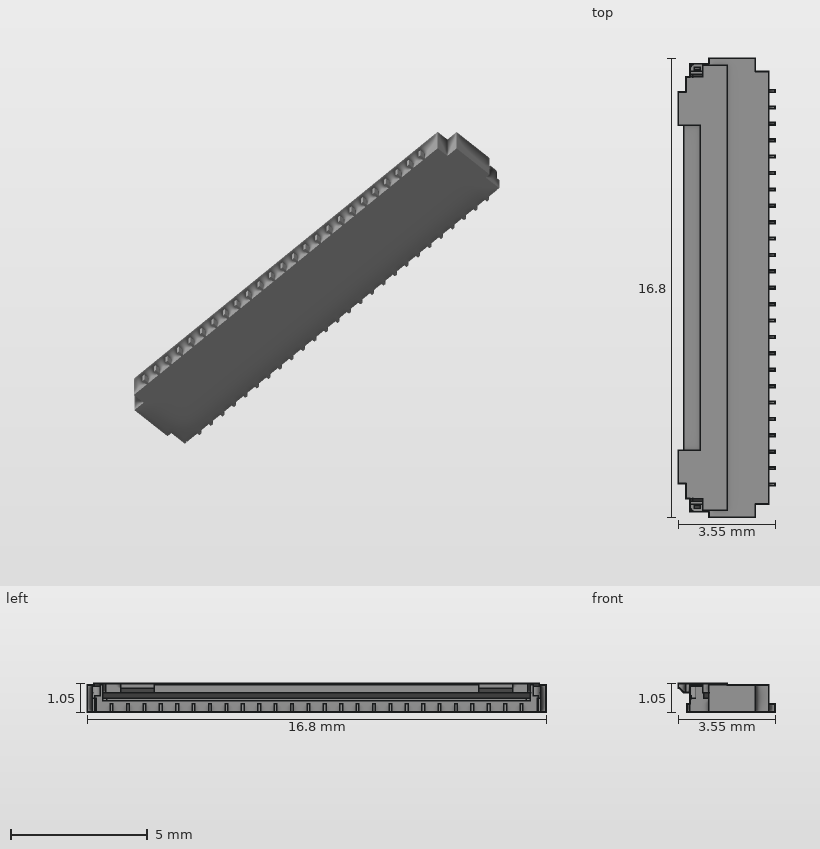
import cadquery as cq


HOUSING_TOP = 1.0
MOUTH_X = -1.34
SHOULDER_X = -0.65
TAIL_X = 1.05
REAR_X = 1.55
FULL_HALF_LENGTH = 8.4
MOUTH_HALF_LENGTH = 8.2
TAIL_HALF_LENGTH = 7.92

SLOT_HALF_LENGTH = 7.82
SLOT_FLOOR = 0.5
LIP_FLOOR = 0.42
LIP_DEPTH = 0.1
RECESS_REAR_X = 0.025
RECESS_HALF_LENGTH = 8.15
RECESS_FRONT_X = -0.88
HINGE_FRONT_X = -0.83
HINGE_FLOOR = SLOT_FLOOR

POST_INNER_Y = 7.92
POST_TOP = 0.95
POST_RADIUS = 0.2
POST_SEAT = 0.6
CHEEK_INNER_Y = 8.12
CHEEK_TOP = 0.5
CHEEK_GROOVE_WIDTH = 0.05
CHEEK_GROOVE_DEPTH = 0.05
POCKET_FRONT_X = -1.19
POCKET_REAR_X = -0.97
POCKET_INNER_Y = 7.97
POCKET_OUTER_Y = 8.07
POCKET_DEPTH = 0.1

FOOT_PITCH = 0.6
FOOT_WIDTH = 0.1
FOOT_HEIGHT = 0.3
FRONT_FOOT_COUNT = 26
REAR_FOOT_COUNT = 25
FRONT_FOOT_X = -1.45
REAR_FOOT_X = 1.775

ACTUATOR_BOTTOM = 0.71
ACTUATOR_TOP = 1.05
ACTUATOR_HALF_LENGTH = 7.72
ACTUATOR_FRONT_X = -1.49
TAB_TIP_X = -1.775
TAB_SLOPE_X = -1.725
TAB_HEEL_X = -1.57
TAB_SLOPE_TOP = 0.88
TAB_OUTER_Y = 7.17
TAB_INNER_Y = 5.94
SINK_FLOOR = 1.0
SINK_REAR_X = -0.97

BAR_HALF_LENGTH = 7.67

ENDS = (-1, 1)


def block(x0, x1, y0, y1, z0, z1):
    """Box between two corners; the two Y limits may come in either order."""
    centre = ((x0 + x1) / 2, (y0 + y1) / 2, (z0 + z1) / 2)
    return cq.Workplane("XY").box(x1 - x0, abs(y1 - y0), z1 - z0).translate(centre)


def long_block(x0, x1, half_length, z0, z1):
    """Box that is symmetric about Y = 0."""
    return block(x0, x1, -half_length, half_length, z0, z1)


def housing_shell():
    """Stepped body, open above the mouth and recessed for the actuator."""
    shell = long_block(MOUTH_X, SHOULDER_X, MOUTH_HALF_LENGTH, 0, HOUSING_TOP)
    shell = shell.union(long_block(SHOULDER_X, TAIL_X, FULL_HALF_LENGTH, 0, HOUSING_TOP))
    shell = shell.union(long_block(TAIL_X, REAR_X, TAIL_HALF_LENGTH, 0, HOUSING_TOP))
    slot = long_block(MOUTH_X, RECESS_REAR_X, SLOT_HALF_LENGTH, SLOT_FLOOR, HOUSING_TOP)
    lip = long_block(MOUTH_X, MOUTH_X + LIP_DEPTH, SLOT_HALF_LENGTH, LIP_FLOOR, SLOT_FLOOR)
    recess = long_block(
        RECESS_FRONT_X, RECESS_REAR_X, RECESS_HALF_LENGTH, ACTUATOR_BOTTOM, HOUSING_TOP
    )
    shell = shell.cut(slot).cut(lip).cut(recess).cut(make_contact_bar())
    for end in ENDS:
        hinge_gap = block(
            HINGE_FRONT_X, SHOULDER_X, end * POST_INNER_Y, end * MOUTH_HALF_LENGTH,
            HINGE_FLOOR, HOUSING_TOP,
        )
        outer_gap = block(
            RECESS_FRONT_X, SHOULDER_X, end * POST_INNER_Y, end * MOUTH_HALF_LENGTH,
            ACTUATOR_BOTTOM, HOUSING_TOP,
        )
        shell = shell.cut(hinge_gap).cut(outer_gap)
    return shell


def corner_waste(end, z0, inner_y):
    """Material outside the post's rounded outer corner, from z0 up, beyond inner_y."""
    centre_x = MOUTH_X + POST_RADIUS
    centre_y = end * (MOUTH_HALF_LENGTH - POST_RADIUS)
    corner = block(MOUTH_X, centre_x, end * inner_y, end * MOUTH_HALF_LENGTH, z0, HOUSING_TOP)
    rounding = (
        cq.Workplane("XY", origin=(centre_x, centre_y, z0))
        .circle(POST_RADIUS)
        .extrude(HOUSING_TOP - z0)
    )
    return corner.cut(rounding)


def shape_post(shell, end):
    """Lower and round one corner post, sink its pocket and groove its cheek."""
    above_post = block(
        MOUTH_X, HINGE_FRONT_X, end * POST_INNER_Y, end * MOUTH_HALF_LENGTH, POST_TOP, HOUSING_TOP
    )
    pocket = block(
        POCKET_FRONT_X, POCKET_REAR_X, end * POCKET_INNER_Y, end * POCKET_OUTER_Y,
        POST_TOP - POCKET_DEPTH, POST_TOP,
    )
    groove = block(
        MOUTH_X, MOUTH_X + CHEEK_GROOVE_DEPTH,
        end * (CHEEK_INNER_Y - CHEEK_GROOVE_WIDTH), end * CHEEK_INNER_Y, 0, CHEEK_TOP,
    )
    shell = shell.cut(above_post).cut(pocket).cut(groove)
    shell = shell.cut(corner_waste(end, POST_SEAT, POST_INNER_Y))
    return shell.cut(corner_waste(end, CHEEK_TOP, CHEEK_INNER_Y))


def foot_row(x0, x1, count):
    """Evenly pitched terminal feet, centred on Y = 0."""
    foot = cq.Workplane("XY").box(x1 - x0, FOOT_WIDTH, FOOT_HEIGHT)
    feet = cq.Workplane("XY")
    for index in range(count):
        y = (index - (count - 1) / 2) * FOOT_PITCH
        feet.add(foot.translate(((x0 + x1) / 2, y, FOOT_HEIGHT / 2)).val())
    return feet.vals()


def make_housing():
    shell = housing_shell()
    for end in ENDS:
        shell = shape_post(shell, end)
    feet = foot_row(FRONT_FOOT_X, MOUTH_X, FRONT_FOOT_COUNT)
    feet += foot_row(REAR_X, REAR_FOOT_X, REAR_FOOT_COUNT)
    return cq.Workplane(shell.val().fuse(*feet))


def finger_tab(end):
    """Overhanging tab with a sloped underside."""
    return (
        cq.Workplane("XZ", origin=(0, end * (TAB_OUTER_Y + TAB_INNER_Y) / 2, 0))
        .moveTo(TAB_TIP_X, ACTUATOR_TOP)
        .lineTo(TAB_TIP_X, TAB_SLOPE_TOP)
        .lineTo(TAB_SLOPE_X, TAB_SLOPE_TOP)
        .lineTo(TAB_HEEL_X, ACTUATOR_BOTTOM)
        .lineTo(ACTUATOR_FRONT_X, ACTUATOR_BOTTOM)
        .lineTo(ACTUATOR_FRONT_X, ACTUATOR_TOP)
        .close()
        .extrude((TAB_OUTER_Y - TAB_INNER_Y) / 2, both=True)
    )


def make_actuator():
    plate = long_block(
        ACTUATOR_FRONT_X, RECESS_REAR_X, ACTUATOR_HALF_LENGTH, ACTUATOR_BOTTOM, ACTUATOR_TOP
    )
    arms = long_block(RECESS_FRONT_X, RECESS_REAR_X, RECESS_HALF_LENGTH, ACTUATOR_BOTTOM, ACTUATOR_TOP)
    lip = long_block(TAB_HEEL_X, ACTUATOR_FRONT_X, TAB_INNER_Y, ACTUATOR_BOTTOM, ACTUATOR_TOP)
    plate = plate.union(arms).union(lip)
    for end in ENDS:
        plate = plate.union(finger_tab(end))
    sink = long_block(TAB_HEEL_X, SINK_REAR_X, TAB_INNER_Y, SINK_FLOOR, ACTUATOR_TOP)
    return plate.cut(sink)


def make_contact_bar():
    return long_block(MOUTH_X + LIP_DEPTH, RECESS_REAR_X, BAR_HALF_LENGTH, LIP_FLOOR, SLOT_FLOOR)


housing = make_housing()
actuator = make_actuator()
contact_bar = make_contact_bar()

result = cq.Compound.makeCompound(
    [*housing.solids().vals(), actuator.val(), contact_bar.val()]
)